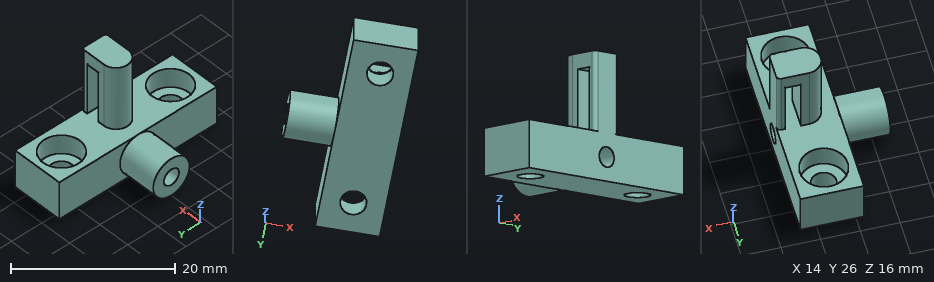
import cadquery as cq

overall_length_x = 14.0
block_length_y = 26.0
overall_height = 16.0

block_depth_x = 8.0
block_height = 6.0

mount_spacing = 18.0
mount_hole_diameter = 3.2
counterbore_diameter = 6.0
counterbore_depth = 3.0

spigot_length = overall_length_x - block_depth_x
spigot_diameter = block_height
bore_diameter = 2.5

post_width = 4.0
post_depth_x = 6.0
post_height = overall_height - block_height
post_edge_radius = 0.5

window_width = 2.0
window_height = 8.0
window_back_wall = 1.0


def make_block():
    block = cq.Workplane("XY").box(
        block_depth_x, block_length_y, block_height, centered=(False, True, False)
    )
    return (
        block.faces(">Z")
        .workplane(origin=(block_depth_x / 2, 0, block_height))
        .pushPoints([(0, -mount_spacing / 2), (0, mount_spacing / 2)])
        .cboreHole(mount_hole_diameter, counterbore_diameter, counterbore_depth)
    )


def x_cylinder(diameter, length):
    """Cylinder along +X, starting at the free end of the spigot."""
    return (
        cq.Workplane("YZ", origin=(-spigot_length, 0, block_height / 2))
        .circle(diameter / 2)
        .extrude(length)
    )


def make_post():
    front_x = block_depth_x - post_depth_x
    half_width = post_width / 2
    arc_end_x = front_x + half_width
    post = (
        cq.Workplane("XY", origin=(0, 0, block_height))
        .moveTo(arc_end_x, -half_width)
        .lineTo(block_depth_x, -half_width)
        .lineTo(block_depth_x, half_width)
        .lineTo(arc_end_x, half_width)
        .threePointArc((front_x, 0), (arc_end_x, -half_width))
        .close()
        .extrude(post_height)
    )
    post = post.faces(">X").edges("|Z").fillet(post_edge_radius)
    window_x = block_depth_x - window_back_wall - window_width
    window = cq.Workplane("XY", origin=(window_x, 0, block_height)).box(
        window_width, post_width, window_height, centered=(False, True, False)
    )
    return post.cut(window)


spigot = x_cylinder(spigot_diameter, spigot_length)
bore = x_cylinder(bore_diameter, overall_length_x)
result = make_block().union(spigot).union(make_post()).cut(bore)